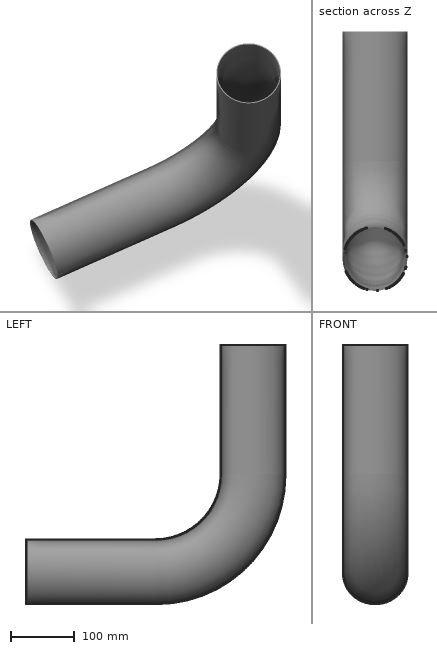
import cadquery as cq

OUTER_DIAMETER = 101.6
INNER_DIAMETER = 98.4
BEND_RADIUS = 1.5 * OUTER_DIAMETER
LEG_LENGTH = 2.0 * OUTER_DIAMETER
BEND_ANGLE = 90.0



def ring(workplane):
    """Annular pipe section centred on the given workplane."""
    return workplane.circle(OUTER_DIAMETER / 2).circle(INNER_DIAMETER / 2)


def vertical_leg():
    """Straight pipe rising along +Z from the upper end of the elbow."""
    start = cq.Workplane("XY", origin=(0, 0, BEND_RADIUS))
    return ring(start).extrude(LEG_LENGTH)


def horizontal_leg():
    """Straight pipe running along +Y from the lower end of the elbow."""
    start = cq.Workplane("XZ", origin=(0, BEND_RADIUS, 0))
    return ring(start).extrude(-LEG_LENGTH)


def elbow():
    """Quarter-torus bend joining the two legs, turning about an axis along X."""
    start = cq.Workplane("XY", origin=(0, 0, BEND_RADIUS))
    axis_start = (0, BEND_RADIUS)
    axis_end = (1, BEND_RADIUS)
    return ring(start).revolve(BEND_ANGLE, axis_start, axis_end)


result = elbow().union(vertical_leg()).union(horizontal_leg())